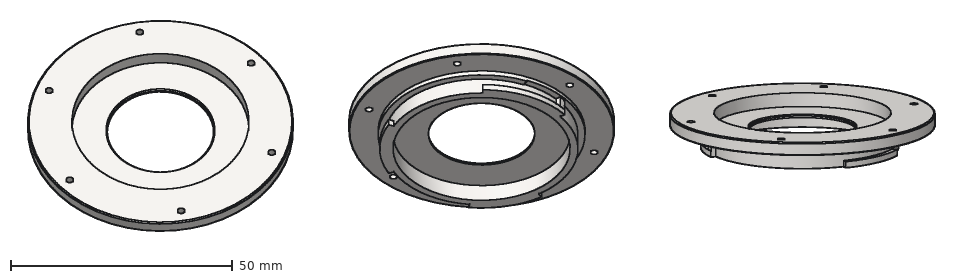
import cadquery as cq
import math

flange_diameter = 60.0
flange_thickness = 3.0
top_chamfer = 0.3
bottom_chamfer = 0.2

hole_count = 6
hole_diameter = 1.6
hole_circle_radius = 26.75

ring_diameter = 46.8
ring_depth = 3.95
seat_depth = 4.15
seat_start = -36.0
seat_end = 158.0

total_height = 8.0
barrel_diameter = 43.55
barrel_bore_diameter = 40.0

tab_radius = 23.05
tab_height = 1.45
tab_spans = [(17.5, 66.0), (132.4, 186.5), (275.6, 319.0)]

stop_radius = 23.0
stop_span = 4.1
stop_end = tab_spans[1][1]
stop_start = stop_end - stop_span

recess_diameter = 40.0
recess_depth = 3.2
floor_thickness = 0.7
opening_diameter = 24.0
opening_chamfer = 0.3


def disc(diameter, top, bottom):
    """Solid disc on the Z axis between two heights."""
    return cq.Workplane("XY").workplane(offset=bottom).circle(diameter / 2).extrude(top - bottom)


def ring_sector(inner_radius, outer_radius, start, end, top, bottom):
    """Part of a ring between two angles in degrees and two heights."""

    def point(radius, angle):
        return (radius * math.cos(math.radians(angle)), radius * math.sin(math.radians(angle)))

    middle = (start + end) / 2
    return (
        cq.Workplane("XY")
        .workplane(offset=bottom)
        .moveTo(*point(inner_radius, start))
        .lineTo(*point(outer_radius, start))
        .threePointArc(point(outer_radius, middle), point(outer_radius, end))
        .lineTo(*point(inner_radius, end))
        .threePointArc(point(inner_radius, middle), point(inner_radius, start))
        .close()
        .extrude(top - bottom)
    )


floor_bottom = -recess_depth - floor_thickness
barrel_end = -total_height

wall_middle_radius = (barrel_diameter + barrel_bore_diameter) / 4

flange = disc(flange_diameter, 0, -flange_thickness)
flange = flange.faces(">Z").edges().chamfer(top_chamfer)
flange = flange.faces("<Z").edges().chamfer(bottom_chamfer)
ring = disc(ring_diameter, -flange_thickness, -ring_depth)
barrel = disc(barrel_diameter, -flange_thickness, barrel_end)
body = flange.union(ring).union(barrel)

seat_radius = ring_diameter / 2
seat = ring_sector(wall_middle_radius, seat_radius, seat_start, seat_end, -flange_thickness, -seat_depth)
body = body.union(seat)
tab_top = barrel_end + tab_height
for start_angle, end_angle in tab_spans:
    tab = ring_sector(wall_middle_radius, tab_radius, start_angle, end_angle, tab_top, barrel_end)
    body = body.union(tab)
stop = ring_sector(wall_middle_radius, stop_radius, stop_start, stop_end, -flange_thickness, barrel_end)
body = body.union(stop)

body = body.cut(disc(recess_diameter, 0, -recess_depth))
body = body.cut(disc(barrel_bore_diameter, floor_bottom, barrel_end))

opening = disc(opening_diameter, -recess_depth, floor_bottom)
opening_rim = (
    cq.Workplane("XY")
    .workplane(offset=-recess_depth)
    .circle(opening_diameter / 2 + opening_chamfer)
    .workplane(offset=-opening_chamfer)
    .circle(opening_diameter / 2)
    .loft()
)
body = body.cut(opening).cut(opening_rim)

holes = (
    cq.Workplane("XY")
    .polarArray(hole_circle_radius, 0, 360, hole_count)
    .circle(hole_diameter / 2)
    .extrude(-flange_thickness)
)
result = body.cut(holes)